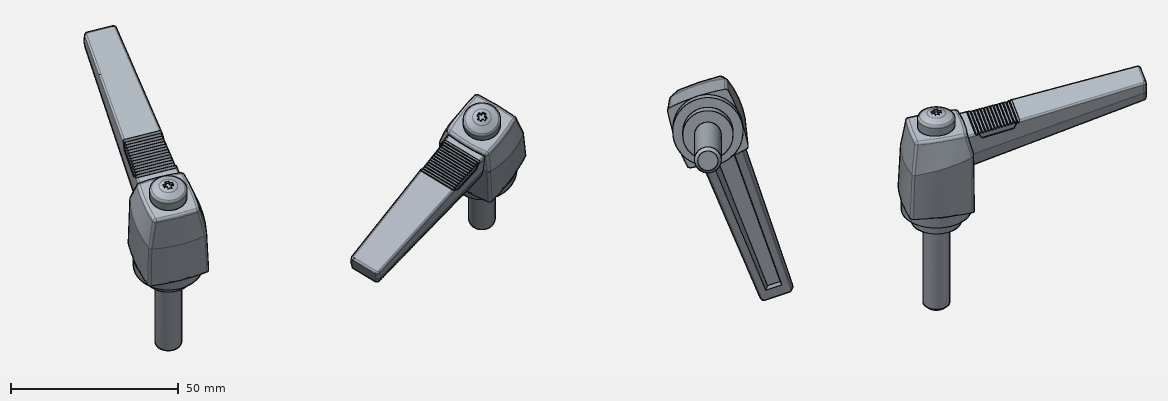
import cadquery as cq
import math


overall_length = 73.5
overall_height = 73.6

stud_diameter = 8.0
stud_end_diameter = 6.0
stud_chamfer_height = 1.0
collar_diameter = 15.0
collar_z = 30.0
flange_diameter = 21.0
flange_z = 34.1

hub_bottom_z = 37.6
parting_z = 54.8
parting_slope = -math.tan(math.radians(12.8))
hub_top_z = 63.6
hub_top_slope = -math.tan(math.radians(3.4))
hub_bottom_shape = dict(left_x=-9.65, right_x=9.7, left_y=9.5, right_y=9.5)
hub_bottom_bulge = dict(bulge_left_x=-10.45, bulge_right_x=10.45, bulge_y=10.2)
hub_parting_shape = dict(left_x=-9.5, right_x=9.05, left_y=8.9, right_y=9.0)
hub_parting_bulge = dict(bulge_left_x=-10.4, bulge_right_x=10.0, bulge_y=10.4)
hub_top_shape = dict(left_x=-7.8, right_x=7.8, left_y=7.2, right_y=7.2)
hub_top_bulge = dict(bulge_left_x=-8.3, bulge_right_x=8.1, bulge_y=7.65)
hub_edge_radius = 1.0

button_diameter = 11.2
button_shoulder_z = 66.2
button_dome_diameter = 10.0
button_shoulder_radius = 1.0
crown_diameter = 5.5
crown_z = 68.1
button_top_z = 68.7
cross_length = 2.9
cross_width = 1.2
cross_depth = 1.1

tip_x = flange_diameter / 2 - overall_length
arm_root_x = -6.6
arm_tip_parting_z = 70.5
arm_tip_bottom_z = 67.6
arm_top_slope = -math.tan(math.radians(11.2))
arm_parting_slope = -math.tan(math.radians(14.5))
arm_bottom_slope = -math.tan(math.radians(16))
arm_tip_half_width = 5.2
arm_width_slope = math.tan(math.radians(2))
arm_upper_draft = 0.09
arm_lower_draft = 0.16
arm_edge_radius = 0.6
arm_tip_corner_radius = 1.0
arm_rim_radius = 0.3
arm_tip_rounding_drop = arm_edge_radius * (math.hypot(1, arm_top_slope) - arm_top_slope - 1)
arm_tip_top_z = overall_height + arm_tip_rounding_drop
edge_tolerance = 0.2

pocket_tip_x = -59.9
pocket_tip_rim_half_width = 2.6
pocket_tip_roof_half_width = 2.0
pocket_end_x = -8.5
pocket_end_rim_half_width = 3.7
pocket_end_roof_half_width = 2.7
pocket_roof_thickness = 1.8
pocket_undercut = 0.3

grip_start_x = -24.15
grip_end_x = -10.45
groove_count = 14
groove_pitch = (grip_end_x - grip_start_x) / groove_count
groove_depth = 0.6
recess_inset = 0.3
recess_depth = 2.0
recess_top_ends = (-23.5, -11.25)
recess_bottom_ends = (-22.4, -12.6)


def cylinder(diameter, z_low, z_high):
    return cq.Workplane("XY").workplane(offset=z_low).circle(diameter / 2).extrude(z_high - z_low)


def hub_section(axis_z, slope, left_x, right_x, left_y, right_y, bulge_left_x, bulge_right_x, bulge_y):
    """Closed wire of four bulging arcs with rounded corners, lying in the plane z = axis_z + slope * x."""
    outline = [
        (left_x, -left_y), (0, -bulge_y), (right_x, -right_y), (bulge_right_x, 0),
        (right_x, right_y), (0, bulge_y), (left_x, left_y), (bulge_left_x, 0),
    ]
    points = [cq.Vector(x, y, axis_z + slope * x) for x, y in outline]
    points.append(points[0])
    arcs = [cq.Edge.makeThreePointArc(*points[i:i + 3]) for i in range(0, len(outline), 2)]
    face = cq.Face.makeFromWires(cq.Wire.assembleEdges(arcs))
    return face.fillet2D(hub_edge_radius, face.Vertices()).outerWire()


def make_hub():
    bottom = hub_section(hub_bottom_z, 0, **hub_bottom_shape, **hub_bottom_bulge)
    parting = hub_section(parting_z, parting_slope, **hub_parting_shape, **hub_parting_bulge)
    top = hub_section(hub_top_z, hub_top_slope, **hub_top_shape, **hub_top_bulge)
    lower = cq.Workplane(cq.Solid.makeLoft([bottom, parting], True))
    upper = cq.Workplane(cq.Solid.makeLoft([parting, top], True))
    hub = lower.union(upper)
    return hub.faces(">Z").edges().fillet(hub_edge_radius)


def arm_top_z(x):
    return arm_tip_top_z + arm_top_slope * (x - tip_x)


def arm_bottom_z(x):
    return arm_tip_bottom_z + arm_bottom_slope * (x - tip_x)


def arm_section(x, extra_width):
    run = x - tip_x
    top = arm_top_z(x)
    bottom = arm_bottom_z(x)
    middle = arm_tip_parting_z + arm_parting_slope * run
    half = arm_tip_half_width + arm_width_slope * run + extra_width
    top_half = half - arm_upper_draft * (top - middle)
    bottom_half = half - arm_lower_draft * (middle - bottom)
    right_side = [(bottom_half, bottom), (half, middle), (top_half, top)]
    left_side = [(-y, z) for y, z in reversed(right_side)]
    return cq.Wire.makePolygon([cq.Vector(x, y, z) for y, z in right_side + left_side], close=True)


def arm_body(extra_width=0):
    sections = [arm_section(tip_x, extra_width), arm_section(arm_root_x, extra_width)]
    return cq.Workplane(cq.Solid.makeLoft(sections, True))


def pocket_section(x, undercut, rim_half_width, roof_half_width):
    rim_z = arm_bottom_z(x) - undercut
    roof_z = arm_top_z(x) - pocket_roof_thickness
    corners = [
        (-rim_half_width, rim_z), (rim_half_width, rim_z),
        (roof_half_width, roof_z), (-roof_half_width, roof_z),
    ]
    return cq.Wire.makePolygon([cq.Vector(x, y, z) for y, z in corners], close=True)


def make_pocket():
    """Hollow with sloping walls that runs along the arm and ends inside the hub."""
    tip = pocket_section(pocket_tip_x, pocket_undercut, pocket_tip_rim_half_width, pocket_tip_roof_half_width)
    end = pocket_section(pocket_end_x, 0, pocket_end_rim_half_width, pocket_end_roof_half_width)
    return cq.Workplane(cq.Solid.makeLoft([tip, end], True))


def make_grooves():
    """Prism with a zigzag underside that cuts the V grooves into the top of the arm."""
    zigzag = [(grip_start_x, arm_top_z(grip_start_x))]
    for i in range(groove_count):
        x = grip_start_x + i * groove_pitch
        zigzag.append((x + groove_pitch / 2, arm_top_z(x + groove_pitch / 2) - groove_depth))
        zigzag.append((x + groove_pitch, arm_top_z(x + groove_pitch)))
    zigzag.append((zigzag[-1][0], zigzag[0][1]))
    return cq.Workplane("XZ").polyline(zigzag).close().extrude(flange_diameter / 2, both=True)


def edges_along(arm, height_at):
    """Edges outside the hub whose middle lies close to the line z = height_at(x)."""
    found = []
    for edge in arm.edges().vals():
        center = edge.Center()
        if center.x < arm_root_x - edge_tolerance and abs(center.z - height_at(center.x)) < edge_tolerance:
            found.append(edge)
    return found


def rounded_arm(extra_width=0):
    arm = arm_body(extra_width)
    tip_corners = [e for e in arm.faces("<X").edges().vals() if abs(e.Center().y) > edge_tolerance]
    arm = arm.newObject(tip_corners).fillet(arm_tip_corner_radius)
    arm = arm.newObject(edges_along(arm, arm_top_z)).fillet(arm_edge_radius)
    return arm.newObject(edges_along(arm, arm_bottom_z)).fillet(arm_rim_radius)


def make_recess_zone():
    """Block across the arm that covers the grip recesses of both sides."""
    top_start, top_end = recess_top_ends
    bottom_start, bottom_end = recess_bottom_ends
    outline = [
        (top_start, arm_tip_top_z), (top_start, arm_top_z(top_start)),
        (bottom_start, arm_top_z(bottom_start) - recess_depth),
        (bottom_end, arm_top_z(bottom_end) - recess_depth),
        (top_end, arm_top_z(top_end)), (top_end, arm_tip_top_z),
    ]
    return cq.Workplane("XZ").polyline(outline).close().extrude(flange_diameter / 2, both=True)


def make_arm():
    zone = make_recess_zone()
    narrow_part = rounded_arm(-recess_inset).intersect(zone)
    return rounded_arm().cut(zone).union(narrow_part).cut(make_grooves())


def make_button():
    radius = button_diameter / 2
    dome_radius = button_dome_diameter / 2
    crown_radius = crown_diameter / 2
    crown_rise = button_top_z - crown_z
    crown_sphere_radius = (crown_radius**2 + crown_rise**2) / (2 * crown_rise)
    shoulder_center = (radius - button_shoulder_radius, button_shoulder_z)
    dome_angle = math.acos((dome_radius - shoulder_center[0]) / button_shoulder_radius)

    def shoulder_point(angle):
        return (
            shoulder_center[0] + button_shoulder_radius * math.cos(angle),
            shoulder_center[1] + button_shoulder_radius * math.sin(angle),
        )

    profile = (
        cq.Workplane("XZ")
        .moveTo(0, hub_bottom_z)
        .lineTo(radius, hub_bottom_z)
        .lineTo(radius, button_shoulder_z)
        .threePointArc(shoulder_point(dome_angle / 2), shoulder_point(dome_angle))
        .tangentArcPoint((crown_radius, crown_z), relative=False)
        .radiusArc((0, button_top_z), -crown_sphere_radius)
        .close()
    )
    button = profile.revolve(360, (0, 0, 0), (0, 1, 0))
    recess = cq.Workplane("XY").workplane(offset=button_top_z - cross_depth)
    for length, width in ((cross_length, cross_width), (cross_width, cross_length)):
        button = button.cut(recess.rect(length, width).extrude(2 * cross_depth))
    return button


def make_stud():
    chamfer_width = (stud_diameter - stud_end_diameter) / 2
    stud = cylinder(stud_diameter, 0, collar_z)
    return stud.faces("<Z").edges().chamfer(stud_chamfer_height, chamfer_width)


result = (
    make_hub()
    .union(make_arm())
    .cut(make_pocket())
    .union(make_button())
    .union(cylinder(flange_diameter, flange_z, hub_bottom_z))
    .union(cylinder(collar_diameter, collar_z, flange_z))
    .union(make_stud())
)